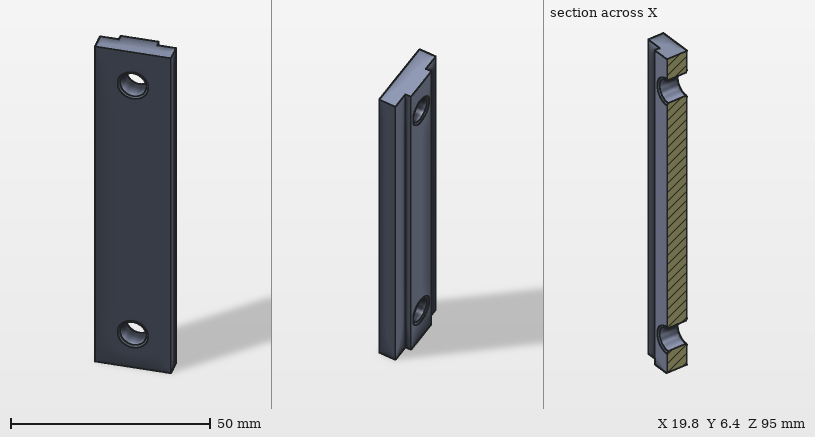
import cadquery as cq
import math

plate_width = 19.8
plate_length = 95.0
total_thickness = 6.4

rib_width = 10.0
rib_height = 1.6
plate_thickness = total_thickness - rib_height

hole_diameter = 6.8
countersink_diameter = 8.0
countersink_angle = 120.0
countersink_width = (countersink_diameter - hole_diameter) / 2
countersink_depth = countersink_width / math.tan(math.radians(countersink_angle / 2))
hole_spacing = 75.0


def make_body():
    """Plate with its front face on Y = 0 and the rib on its back face."""
    plate = cq.Workplane("XY").box(
        plate_width, plate_thickness, plate_length, centered=(True, False, True)
    )
    rib = cq.Workplane("XY").box(
        rib_width, total_thickness, plate_length, centered=(True, False, True)
    )
    return plate.union(rib)


def make_countersink(entry, inward):
    """Cone that opens at the entry point and narrows to the hole along the inward direction."""
    return cq.Solid.makeCone(
        countersink_diameter / 2, hole_diameter / 2, countersink_depth, entry, inward
    )


def make_hole_cutter(height):
    """Through hole along Y at the given Z, countersunk at the front face and at the rib face."""
    front_entry = cq.Vector(0, 0, height)
    back_entry = cq.Vector(0, total_thickness, height)
    toward_back = cq.Vector(0, 1, 0)
    bore = cq.Solid.makeCylinder(hole_diameter / 2, total_thickness, front_entry, toward_back)
    front_countersink = make_countersink(front_entry, toward_back)
    back_countersink = make_countersink(back_entry, -toward_back)
    return bore.fuse(front_countersink, back_countersink)


result = make_body()
for hole_height in (-hole_spacing / 2, hole_spacing / 2):
    result = result.cut(cq.Workplane("XY").add(make_hole_cutter(hole_height)))